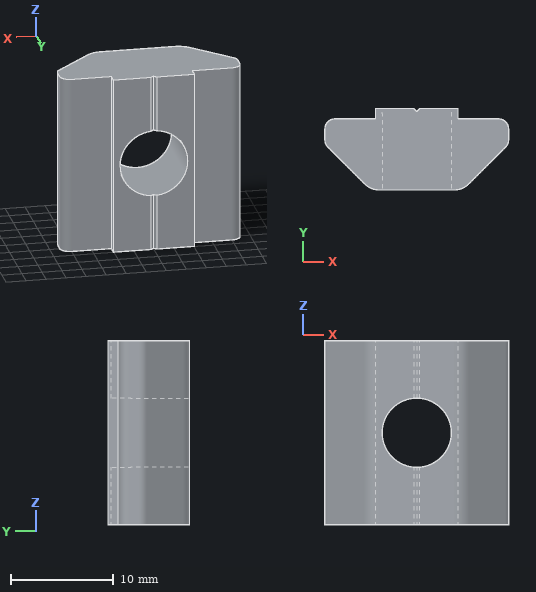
import cadquery as cq

width = 18.0
depth = 8.0
length = 18.0

rib_width = 8.1
rib_height = 1.0
bevel = 4.5
shoulder_radius = 1.0
nose_radius = 2.0
groove_depth = 0.29
groove_width = 2 * groove_depth

bore_diameter = 6.75

shoulder_y = depth - rib_height
half_width = width / 2


def make_body():
    """Trapezoidal bar with rounded lengthwise edges, front face at Y = 0."""
    nose_x = half_width - bevel
    outline = [
        (-nose_x, 0),
        (nose_x, 0),
        (half_width, bevel),
        (half_width, shoulder_y),
        (-half_width, shoulder_y),
        (-half_width, bevel),
    ]
    bar = cq.Workplane("XY").polyline(outline).close().extrude(length)
    bar = bar.edges("|Z and <Y").fillet(nose_radius)
    return bar.faces("<X or >X").edges("|Z").fillet(shoulder_radius)


def make_rib():
    """Raised rib on the back with a V groove along its centre line."""
    half_rib = rib_width / 2
    half_groove = groove_width / 2
    outline = [
        (-half_rib, shoulder_y),
        (half_rib, shoulder_y),
        (half_rib, depth),
        (half_groove, depth),
        (0, depth - groove_depth),
        (-half_groove, depth),
        (-half_rib, depth),
    ]
    return cq.Workplane("XY").polyline(outline).close().extrude(length)


def make_bore():
    """Round through hole along Y, centred on the block."""
    return (
        cq.Workplane("XZ", origin=(0, depth, length / 2))
        .circle(bore_diameter / 2)
        .extrude(depth)
    )


result = make_body().union(make_rib()).cut(make_bore())